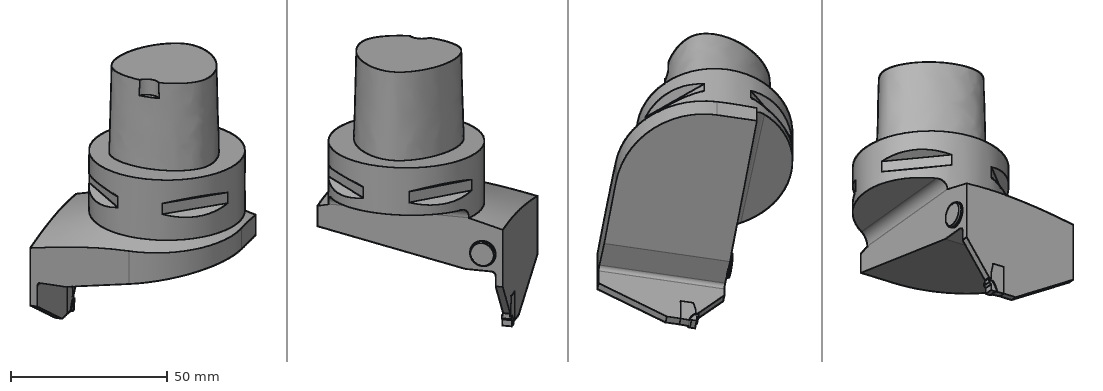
import cadquery as cq
import math


shank_height = 30.0
shank_base_radius = 17.6
shank_top_radius = 16.875
shank_lobe = 1.035
shank_curve_points = 36

notch_diameter = 8.5
notch_inner_y = -14.0
notch_depth = 5.4

flange_diameter = 50.0
flange_radius = flange_diameter / 2
flange_height = 20.9
slot_count = 4
slot_floor_distance = 22.2
slot_floor_width = 3.7
slot_middle_z = -10.0
slot_side_angle = 30

relief_rear_z = -16.1
relief_slope = 0.08
relief_fillet = 3.6

head_left = -34.65
head_right = 27.1
head_rear = 9.0
head_front = -31.95
head_corner_radius = 27.9
head_bottom = -59.6
cone_angle = 15

blade_thickness = 2.4
blade_right = head_left + blade_thickness
underside_z = -38.4
underside_knee_x = -22.2
underside_right_z = -28.8
blade_root_fillet = 1.35

blade_rear_z = -43.3
blade_front_z = -46.7
blade_tip_front_y = -9.8
blade_slope_end_y = 0.3

screw_diameter = 8.5
screw_height = 1.3
screw_chamfer_height = 0.6
screw_chamfer_width = 0.4
screw_x = -28.1
screw_z = -32.4

insert_top = -49.95
insert_front = -5.3
insert_top_rear = -1.2
insert_rear = -0.4
insert_bend_z = -53.7
tip_rear = 0.5
tip_bottom = shank_height - 90
tip_top = -55.5
tip_overhang = 0.4
tip_face_y = -0.1
tip_nose_z = -57.2
tip_face_z = -58.0
tip_land_y = -1.8
tip_side_z = -56.4
tip_side_y = -0.8
tip_side_end = (-2.5, -59.8)
tip_side_middle = (-1.7, -57.7)

margin = 9.0


def lobed_section(mean_radius):
    """Closed three-lobed curve of constant width, with one lobe toward +Y."""
    points = []
    for i in range(shank_curve_points):
        angle = 2 * math.pi * i / shank_curve_points
        support = mean_radius + shank_lobe * math.cos(3 * angle)
        slope = -3 * shank_lobe * math.sin(3 * angle)
        x = support * math.sin(angle) + slope * math.cos(angle)
        y = support * math.cos(angle) - slope * math.sin(angle)
        points.append(cq.Vector(x, y, 0))
    edge = cq.Edge.makeSpline(points, periodic=True)
    return cq.Wire.assembleEdges([edge])


def make_shank():
    base = lobed_section(shank_base_radius)
    top = lobed_section(shank_top_radius).translate(cq.Vector(0, 0, shank_height))
    shank = cq.Workplane(obj=cq.Solid.makeLoft([base, top], True))
    notch = (
        cq.Workplane("XY", origin=(0, notch_inner_y - notch_diameter / 2, shank_height - notch_depth))
        .circle(notch_diameter / 2)
        .extrude(notch_depth + margin)
    )
    return shank.cut(notch)


def make_slot_cutter():
    """Slot with a flat floor and flared sides, cut into the flange from +X."""
    outer = flange_radius + margin
    half_floor = slot_floor_width / 2
    half_mouth = half_floor + (outer - slot_floor_distance) * math.tan(math.radians(slot_side_angle))
    return (
        cq.Workplane("XZ")
        .polyline([
            (slot_floor_distance, slot_middle_z - half_floor),
            (outer, slot_middle_z - half_mouth),
            (outer, slot_middle_z + half_mouth),
            (slot_floor_distance, slot_middle_z + half_floor),
        ])
        .close()
        .extrude(flange_radius, both=True)
    )


def make_relief():
    """Space below the rear of the flange, rounded where it meets the rear of the head."""
    wall_z = relief_rear_z - relief_slope * (flange_radius - head_rear)
    outer = flange_radius + margin
    outer_z = relief_rear_z + relief_slope * margin
    floor_z = -flange_height - margin
    relief = (
        cq.Workplane("YZ", origin=(-flange_radius - margin, 0, 0))
        .polyline([(head_rear, wall_z), (outer, outer_z), (outer, floor_z), (head_rear, floor_z)])
        .close()
        .extrude(2 * (flange_radius + margin))
    )
    return relief.edges("|X").edges("<Y").edges(">Z").fillet(relief_fillet)


def make_flange():
    flange = cq.Workplane("XY").circle(flange_radius).extrude(-flange_height)
    slot = make_slot_cutter()
    spacing = 360 / slot_count
    for i in range(slot_count):
        flange = flange.cut(slot.rotate((0, 0, 0), (0, 0, 1), spacing * (i + 0.5)))
    return flange.cut(make_relief())


def make_head_plan():
    """Head outline seen along Z, with one large rounded corner."""
    height = -flange_height - head_bottom
    width = head_right - head_left
    depth = head_rear - head_front
    block = (
        cq.Workplane("XY", origin=(head_left, head_front, head_bottom))
        .box(width, depth, height, centered=False)
    )
    return block.edges("|Z").edges(">X").edges("<Y").fillet(head_corner_radius)


def make_head_cone():
    """Cone that slopes the top of the head down from the rim of the flange."""
    height = -flange_height - head_bottom
    base_radius = flange_radius + height / math.tan(math.radians(cone_angle))
    cone = cq.Solid.makeCone(base_radius, flange_radius, height, pnt=cq.Vector(0, 0, head_bottom))
    return cq.Workplane(obj=cone)


def make_underside_cutter():
    """Space below the sloping underside and to the right of the blade."""
    floor_z = head_bottom - margin
    cutter = (
        cq.Workplane("XZ", origin=(0, head_rear + margin, 0))
        .polyline([
            (blade_right, floor_z),
            (blade_right, underside_z),
            (underside_knee_x, underside_z),
            (head_right, underside_right_z),
            (head_right, floor_z),
        ])
        .close()
        .extrude(head_rear - head_front + 2 * margin)
    )
    return cutter.edges("|Y").edges("<X").edges(">Z").fillet(blade_root_fillet)


def make_blade_outline():
    """Head outline seen along X, with both lower corners cut away."""
    return (
        cq.Workplane("YZ", origin=(head_left, 0, 0))
        .polyline([
            (head_rear, -flange_height),
            (head_rear, blade_rear_z),
            (blade_slope_end_y, tip_top),
            (insert_rear, tip_top),
            (insert_rear, head_bottom),
            (blade_tip_front_y, head_bottom),
            (head_front, blade_front_z),
            (head_front, -flange_height),
        ])
        .close()
        .extrude(head_right - head_left)
    )


def make_head():
    head = make_head_plan().intersect(make_head_cone())
    return head.intersect(make_blade_outline()).cut(make_underside_cutter())


def make_screw_head():
    return (
        cq.Workplane("XZ", origin=(screw_x, head_rear, screw_z))
        .circle(screw_diameter / 2)
        .extrude(-screw_height)
        .faces(">Y")
        .chamfer(screw_chamfer_height, screw_chamfer_width)
    )


def make_insert():
    """Cutting insert: a plate as thick as the blade with a wider cutting tip."""
    plate = (
        cq.Workplane("YZ", origin=(head_left, 0, 0))
        .polyline([
            (insert_front, insert_top),
            (insert_top_rear, insert_top),
            (insert_rear, insert_bend_z),
            (insert_rear, tip_top),
            (tip_rear, tip_top),
            (tip_rear, tip_side_z),
            (tip_side_y, tip_side_z),
            tip_side_end,
            (insert_front, head_bottom),
        ])
        .close()
        .extrude(blade_thickness)
    )
    tip = (
        cq.Workplane("YZ", origin=(head_left - tip_overhang, 0, 0))
        .moveTo(tip_rear, tip_side_z)
        .lineTo(tip_side_y, tip_side_z)
        .threePointArc(tip_side_middle, tip_side_end)
        .lineTo(tip_land_y, tip_bottom)
        .lineTo(tip_face_y, tip_bottom)
        .lineTo(tip_face_y, tip_face_z)
        .lineTo(tip_rear, tip_nose_z)
        .close()
        .extrude(blade_thickness + 2 * tip_overhang)
    )
    return plate.union(tip)


insert = make_insert()
holder = make_flange().union(make_shank()).union(make_head()).union(make_screw_head()).cut(insert)

result = cq.Compound.makeCompound([holder.solids().val(), insert.solids().val()])